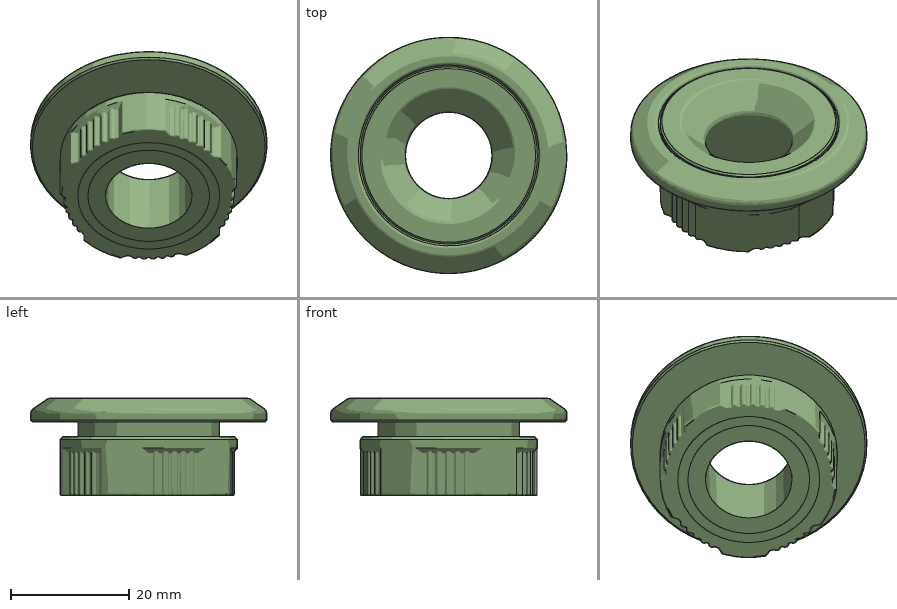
import cadquery as cq
import math


flange_thickness = 4.0
neck_gap = 2.5
nut_height = 10.0
flange_bottom = nut_height + neck_gap
total_height = flange_bottom + flange_thickness

flange_radius = 40.0 / 2
flange_top_radius = 17.0
flange_slope_drop = 2.1
flange_round = 1.0
flange_bottom_chamfer = 0.3
neck_radius = 24.0 / 2

insert_radius = 30.0 / 2
insert_chamfer = 0.3
seat_mouth_radius = 30.6 / 2
seat_mouth_round = 0.5
seat_mouth_land = 0.05
seat_taper_depth = seat_mouth_radius - insert_radius
seat_depth = 2.0
tail_radius = 20.55 / 2
bore_radius = 14.6 / 2
countersink_depth = 4.0
countersink_round = 1.0

nut_radius = 30.0 / 2
nut_top_chamfer = 0.5
nut_bottom_round = 0.3

pocket_count = 5
pocket_pitch = 360.0 / pocket_count
pocket_top = nut_height - 2.0
pocket_mouth_half_angle = 21.9
pocket_floor_half_angle = 18.0
pocket_floor_radius = 14.15
groove_root_radius = 14.1
rib_count = 5
rib_pitch = 6.4
rib_half_angle = 2.2
rib_crest_radius = 14.5
pocket_edge_round = 0.1
pocket_margin = 1.6
edge_search_gap = 0.05


def revolved(profile):
    """Solid swept around Z by a closed profile of (radius, height) points."""
    return cq.Workplane("XZ").polyline(profile).close().revolve(360, (0, 0), (0, 1))


def rounded(body, size, radius, height):
    """Body with the circular edge of that radius and height filleted."""
    edges = [
        edge
        for edge in body.edges("%CIRCLE").vals()
        if math.isclose(edge.radius(), radius, abs_tol=0.005)
        and math.isclose(edge.Center().z, height, abs_tol=0.005)
    ]
    return body.newObject(edges).fillet(size)


def make_sleeve():
    """Neck and flange with a sloped rim, bored and stepped for the insert."""
    rim_height = total_height - flange_slope_drop
    seat_height = total_height - seat_depth
    taper_top = total_height - seat_mouth_round - seat_mouth_land
    sleeve = revolved([
        (tail_radius, 0),
        (neck_radius, 0),
        (neck_radius, flange_bottom),
        (flange_radius - flange_bottom_chamfer, flange_bottom),
        (flange_radius, flange_bottom + flange_bottom_chamfer),
        (flange_radius, rim_height),
        (flange_top_radius, total_height),
        (seat_mouth_radius, total_height),
        (seat_mouth_radius, taper_top),
        (insert_radius, taper_top - seat_taper_depth),
        (insert_radius, seat_height),
        (tail_radius, seat_height),
    ])
    sleeve = rounded(sleeve, flange_round, flange_radius, rim_height)
    sleeve = rounded(sleeve, flange_round, flange_top_radius, total_height)
    return rounded(sleeve, seat_mouth_round, seat_mouth_radius, total_height)


def make_insert():
    """Head seated flush in the flange, a tail down the sleeve and a countersunk through bore."""
    seat_height = total_height - seat_depth
    countersink_height = total_height - countersink_depth
    countersink_radius = bore_radius + countersink_depth
    insert = revolved([
        (bore_radius, 0),
        (tail_radius, 0),
        (tail_radius, seat_height),
        (insert_radius, seat_height),
        (insert_radius, total_height - insert_chamfer),
        (insert_radius - insert_chamfer, total_height),
        (countersink_radius, total_height),
        (bore_radius, countersink_height),
    ])
    insert = rounded(insert, countersink_round, countersink_radius, total_height)
    return rounded(insert, countersink_round, bore_radius, countersink_height)


def polar(radius, angle):
    """Point at an angle in degrees, measured around Z from the -Y direction."""
    turn = math.radians(angle)
    return radius * math.sin(turn), -radius * math.cos(turn)


def make_pocket():
    """Cutter for the pocket that faces -Y: ribbed floor, splayed sides and a 45 degree roof."""
    outside_radius = nut_radius + pocket_margin
    first_rib = -rib_pitch * (rib_count - 1) / 2

    outline = cq.Workplane("XY").moveTo(*polar(pocket_floor_radius, -pocket_floor_half_angle))
    for rib in range(rib_count):
        angle = first_rib + rib * rib_pitch
        if rib > 0:
            outline = outline.lineTo(*polar(groove_root_radius, angle - rib_pitch / 2))
        outline = outline.lineTo(*polar(pocket_floor_radius, angle - rib_half_angle))
        outline = outline.threePointArc(
            polar(rib_crest_radius, angle), polar(pocket_floor_radius, angle + rib_half_angle)
        )
    outline = (
        outline.lineTo(*polar(pocket_floor_radius, pocket_floor_half_angle))
        .lineTo(*polar(nut_radius, pocket_mouth_half_angle))
        .lineTo(*polar(outside_radius, pocket_mouth_half_angle))
        .lineTo(*polar(outside_radius, -pocket_mouth_half_angle))
        .lineTo(*polar(nut_radius, -pocket_mouth_half_angle))
        .close()
    )
    roof = revolved([
        (0, pocket_top - nut_radius),
        (nut_radius, pocket_top),
        (0, pocket_top),
    ])
    return outline.extrude(pocket_top).cut(roof)


def make_nut():
    """Ring around the neck with round-edged grip pockets open at its lower end."""
    nut = revolved([
        (0, 0),
        (nut_radius, 0),
        (nut_radius, nut_height - nut_top_chamfer),
        (nut_radius - nut_top_chamfer, nut_height),
        (0, nut_height),
    ])
    pocket = make_pocket()
    for index in range(pocket_count):
        nut = nut.cut(pocket.rotate((0, 0, 0), (0, 0, 1), index * pocket_pitch))

    pocket_zone = cq.selectors.BoxSelector(
        (-nut_radius, -nut_radius, edge_search_gap),
        (nut_radius, nut_radius, pocket_top + edge_search_gap),
    )
    nut = nut.edges(pocket_zone).fillet(pocket_edge_round)
    nut = nut.faces("<Z").edges().fillet(nut_bottom_round)
    return nut.cut(cq.Workplane("XY").circle(neck_radius).extrude(nut_height))


sleeve = make_sleeve()
insert = make_insert()
nut = make_nut()

result = cq.Compound.makeCompound([sleeve.val(), insert.val(), nut.val()])